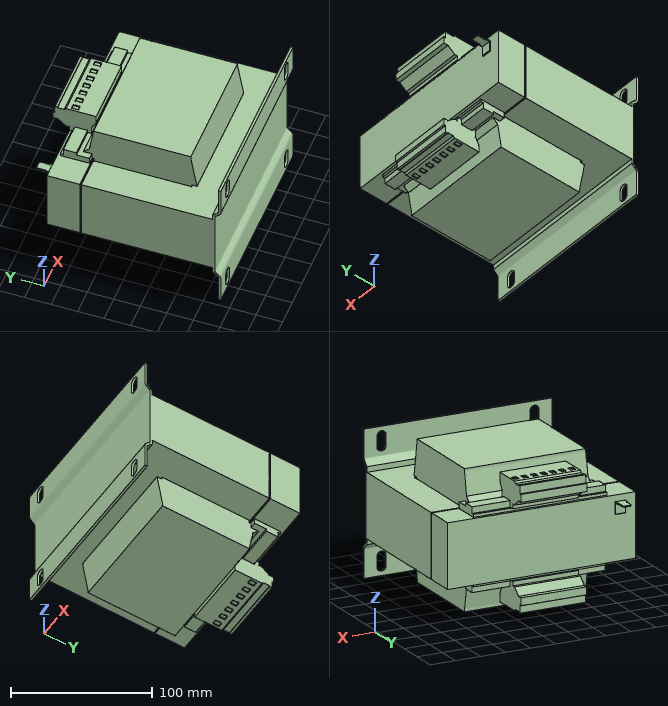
import cadquery as cq
import math


core_width = 150.0
core_depth = 125.0
core_thickness = 50.0
core_half = core_thickness / 2
limb_width = core_width / 6
joint_groove_width = 0.8
joint_groove_depth = 0.8

plate_height = 112.0
plate_gauge = 2.0
plate_offset = 4.4
plate_bend_z = 32.7
flange_bend_radius = 3.5
web_bend_radius = 0.9
slot_width = 7.0
slot_length = 15.0
slot_pitch_x = 122.0
slot_pitch_z = 90.0

core_front = plate_offset + plate_gauge
core_back = core_front + core_depth
window_front = core_front + limb_width
joint_back = core_back - limb_width
joint_front = joint_back - joint_groove_width

coil_width = 96.8
coil_top = 53.7
coil_top_front = 32.2
coil_top_back = 105.9
coil_rim_height = 2.2
coil_taper = 4.6
coil_lip_z = 34.0
coil_lip_back = 113.4

rail_length = 106.5
rail_front = 107.0
rail_ledge_z = 29.8
rail_block_front = 116.8
rail_block_back = 126.6
rail_top = 32.1
rail_foot_back = 128.8
rail_foot_z = 27.2

pole_count = 7
pole_pitch = 7.5
strip_left = -29.8
strip_front = 110.4
strip_back = 143.2
strip_top = 48.6
strip_neck_front = 113.8
strip_neck_back = 130.6
strip_neck_z = 36.0
strip_shelf_z = 30.6
strip_front_face_height = 6.3
strip_step_y = 133.2
strip_ledge_drop = 1.4
strip_lip_width = 2.1
strip_lip_height = 0.6
strip_nose_length = 1.5
strip_nose_top = 41.7
strip_nose_bottom = 35.7
strip_slope_back = 139.5
strip_slope_front = 133.2
entry_width = 3.5
entry_length = 5.0
entry_depth = 0.9
entry_y = 127.2

tab_x = -62.5
tab_z = 19.5
tab_gauge = 0.9
tab_base_width = 8.0
tab_blade_width = 6.5
tab_tip_width = 4.6
tab_shoulder_y = 134.8
tab_tip_y = 142.8
tab_tip_chamfer = 0.9
tab_leg_bottom = 10.6


def box_between(x0, x1, y0, y1, z0, z1):
    return cq.Workplane("XY").box(x1 - x0, y1 - y0, z1 - z0, centered=False).translate((x0, y0, z0))


def extrude_along_x(points, x0, length):
    """Extrude a (Y, Z) outline from x0 towards +X."""
    return cq.Workplane("YZ", origin=(x0, 0, 0)).polyline(points).close().extrude(length)


def make_core():
    half_width = core_width / 2
    core = box_between(-half_width, half_width, core_front, core_back, -core_half, core_half)
    groove = box_between(-half_width, half_width, joint_front, joint_back, -core_half, core_half)
    groove_floor = box_between(
        -half_width + joint_groove_depth, half_width - joint_groove_depth,
        joint_front, joint_back,
        -core_half + joint_groove_depth, core_half - joint_groove_depth,
    )
    core = core.cut(groove.cut(groove_floor))
    limb_inner = half_width - limb_width
    for x0, x1 in ((-limb_inner, -coil_width / 2), (coil_width / 2, limb_inner)):
        core = core.cut(box_between(x0, x1, window_front, joint_front, -core_half, core_half))
    return core


def make_plate():
    inner_bend_z = plate_bend_z + plate_gauge * math.tan(math.radians(45 / 2))
    plate_top = plate_height / 2
    upper_outer = [
        (0, plate_top),
        (0, plate_bend_z),
        (plate_offset, plate_bend_z - plate_offset),
    ]
    upper_inner = [
        (core_front, inner_bend_z - plate_offset),
        (plate_gauge, inner_bend_z),
        (plate_gauge, plate_top),
    ]
    lower_outer = [(y, -z) for y, z in reversed(upper_outer)]
    lower_inner = [(y, -z) for y, z in reversed(upper_inner)]
    outline = upper_outer + lower_outer + lower_inner + upper_inner
    plate = extrude_along_x(outline, -core_width / 2, core_width)

    bends = (
        (upper_outer[1], flange_bend_radius),
        (upper_inner[1], flange_bend_radius - plate_gauge),
        (upper_outer[2], web_bend_radius),
    )
    for (y, z), radius in bends:
        for side in (1, -1):
            corner = cq.selectors.NearestToPointSelector((0, y, side * z))
            plate = plate.edges("|X").edges(corner).fillet(radius)

    slots = (
        cq.Workplane("XZ")
        .rarray(slot_pitch_x, slot_pitch_z, 2, 2)
        .slot2D(slot_length, slot_width, 90)
        .extrude(-plate_gauge)
    )
    return plate.cut(slots)


def make_coil_half():
    rim_z = coil_top - coil_rim_height
    taper_slope = coil_taper / (rim_z - core_half)
    lip_front = coil_top_back + taper_slope * (rim_z - coil_lip_z)
    outline = [
        (coil_top_front - coil_taper, core_half),
        (coil_top_front, rim_z),
        (coil_top_front, coil_top),
        (coil_top_back, coil_top),
        (coil_top_back, rim_z),
        (lip_front, coil_lip_z),
        (coil_lip_back, rail_ledge_z),
        (coil_lip_back, core_half),
    ]
    return extrude_along_x(outline, -coil_width / 2, coil_width)


def make_rail():
    outline = [
        (rail_front, core_half),
        (rail_front, rail_ledge_z),
        (rail_block_front, rail_ledge_z),
        (rail_block_front, rail_top),
        (rail_block_back, rail_top),
        (rail_block_back, rail_foot_z),
        (rail_foot_back, rail_foot_z),
        (rail_foot_back, core_half),
    ]
    return extrude_along_x(outline, -rail_length / 2, rail_length)


def make_terminal_strip():
    ledge_z = strip_top - strip_ledge_drop
    lip_z = ledge_z + strip_lip_height
    lip_back = strip_back - strip_nose_length
    lip_front = lip_back - strip_lip_width
    outline = [
        (strip_front, strip_top),
        (strip_step_y, strip_top),
        (strip_step_y + strip_ledge_drop, ledge_z),
        (lip_front, ledge_z),
        (lip_front, lip_z),
        (lip_back, lip_z),
        (lip_back, strip_nose_top),
        (strip_back, strip_nose_top),
        (strip_back, strip_nose_bottom),
        (strip_slope_back, strip_nose_bottom),
        (strip_slope_front, strip_shelf_z),
        (strip_neck_back, strip_shelf_z),
        (strip_neck_back, rail_foot_z),
        (strip_neck_front, rail_foot_z),
        (strip_neck_front, strip_neck_z),
        (strip_front, strip_top - strip_front_face_height),
    ]
    strip = extrude_along_x(outline, strip_left, pole_count * pole_pitch)
    for pole in range(pole_count):
        x = strip_left + (pole + 0.5) * pole_pitch
        entry = cq.Workplane("XY").box(entry_width, entry_length, 2 * entry_depth)
        strip = strip.cut(entry.translate((x, entry_y, strip_top)))
    return strip


def make_earth_tab():
    half_base = tab_base_width / 2
    half_blade = tab_blade_width / 2
    half_tip = tab_tip_width / 2
    right_side = [
        (half_base, core_back),
        (half_base, tab_shoulder_y),
        (half_blade, tab_shoulder_y),
        (half_blade, tab_tip_y - tab_tip_chamfer),
        (half_tip, tab_tip_y),
    ]
    left_side = [(-x, y) for x, y in reversed(right_side)]
    blade = (
        cq.Workplane("XY", origin=(tab_x, 0, tab_z - tab_gauge / 2))
        .polyline(right_side + left_side)
        .close()
        .extrude(tab_gauge)
    )
    leg = box_between(
        tab_x - half_base, tab_x + half_base,
        core_back, core_back + tab_gauge,
        tab_leg_bottom, tab_z,
    )
    return blade.union(leg)


upper_parts = make_coil_half().union(make_rail()).union(make_terminal_strip())
lower_parts = upper_parts.mirror("XY")
result = make_core().union(make_plate()).union(upper_parts).union(lower_parts).union(make_earth_tab())